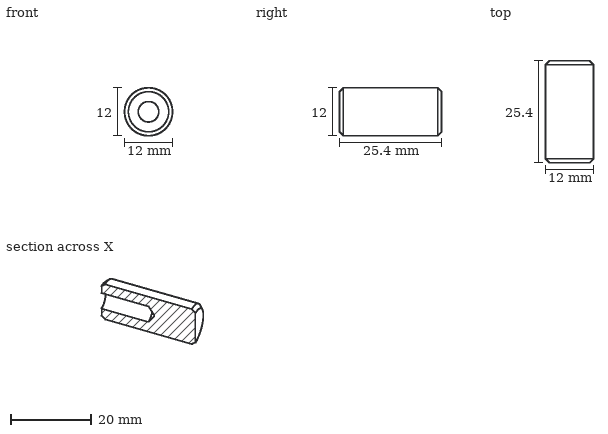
import cadquery as cq
import math

length = 25.4
diameter = 12.0
chamfer = 1.0
hole_diameter = 5.1
hole_depth = 12.7
drill_point_angle = 118.0

front_y = -length / 2
hole_radius = hole_diameter / 2
point_depth = hole_radius / math.tan(math.radians(drill_point_angle / 2))


def make_body():
    """Solid cylinder centred on the origin, chamfered at both ends."""
    return (
        cq.Workplane("XZ", origin=(0, -front_y, 0))
        .circle(diameter / 2)
        .extrude(length)
        .faces("<Y or >Y")
        .edges()
        .chamfer(chamfer)
    )


def make_drilled_hole():
    """Drill shape revolved about the Y axis, ending in a cone."""
    shoulder_y = front_y + hole_depth
    return (
        cq.Workplane("XY")
        .moveTo(0, front_y)
        .lineTo(hole_radius, front_y)
        .lineTo(hole_radius, shoulder_y)
        .lineTo(0, shoulder_y + point_depth)
        .close()
        .revolve(360, (0, 0, 0), (0, 1, 0))
    )


result = make_body().cut(make_drilled_hole())